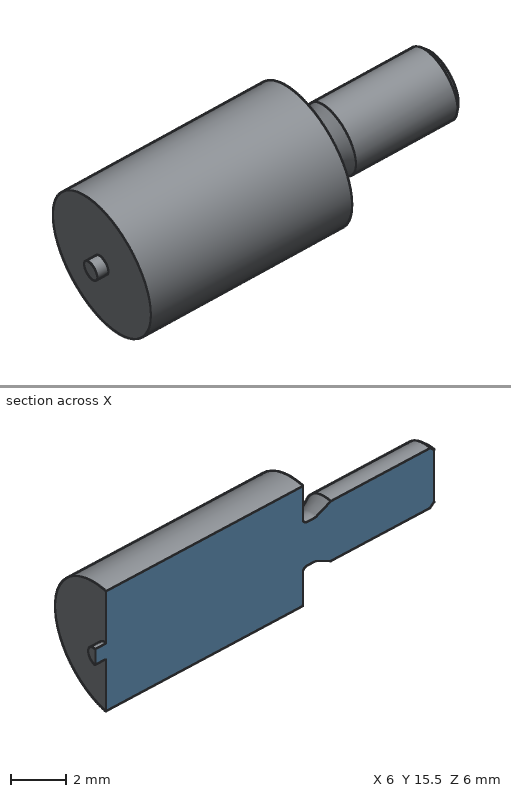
import cadquery as cq
import math

total_length = 15.5
body_diameter = 6.0
tip_diameter = 0.8
tip_length = 0.5
stud_diameter = 3.0
stud_length = 6.0
neck_diameter = 2.2
relief_length = 1.25
relief_angle = math.radians(30)
neck_fillet = 0.2
end_chamfer = 0.2

body_radius = body_diameter / 2
tip_radius = tip_diameter / 2
stud_radius = stud_diameter / 2
neck_radius = neck_diameter / 2
shoulder_y = total_length - stud_length
relief_end_y = shoulder_y + relief_length

fillet_offset = neck_fillet * (1 - math.sqrt(0.5))
shoulder_fillet_middle = (neck_radius + fillet_offset, shoulder_y + fillet_offset)
shoulder_fillet_end = (neck_radius, shoulder_y + neck_fillet)

cone_length = (stud_radius - neck_radius) / math.tan(relief_angle)
cone_corner_y = relief_end_y - cone_length
cone_fillet_start_y = cone_corner_y - neck_fillet * math.tan(relief_angle / 2)


def cone_fillet_point(angle):
    """Point on the neck-to-cone fillet after turning by angle from the axis."""
    radius = neck_radius + neck_fillet * (1 - math.cos(angle))
    return radius, cone_fillet_start_y + neck_fillet * math.sin(angle)


profile = (
    cq.Workplane("XY")
    .moveTo(0, 0)
    .lineTo(tip_radius, 0)
    .lineTo(tip_radius, tip_length)
    .lineTo(body_radius, tip_length)
    .lineTo(body_radius, shoulder_y)
    .lineTo(neck_radius + neck_fillet, shoulder_y)
    .threePointArc(shoulder_fillet_middle, shoulder_fillet_end)
    .lineTo(neck_radius, cone_fillet_start_y)
    .threePointArc(cone_fillet_point(relief_angle / 2), cone_fillet_point(relief_angle))
    .lineTo(stud_radius, relief_end_y)
    .lineTo(stud_radius, total_length - end_chamfer)
    .lineTo(stud_radius - end_chamfer, total_length)
    .lineTo(0, total_length)
    .close()
)

result = profile.revolve(360, (0, 0, 0), (0, 1, 0))